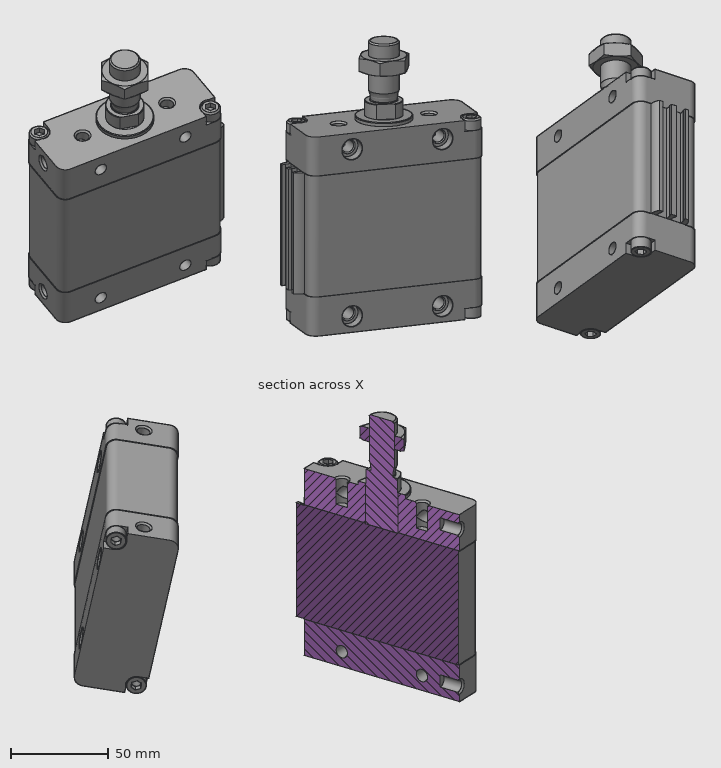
import cadquery as cq
import math


total_height = 149.0
overall_depth = 102.0
body_height = 107.0
cap_height = 21.0
tube_top = body_height - cap_height

cap_width = 38.0
cap_depth = 97.0
corner_radius = 5.5
tube_inset = 0.5

screw_x = cap_width / 2 - corner_radius
screw_y = cap_depth / 2 - corner_radius
screw_corners = [(-1, -1), (1, 1)]
pocket_radius = 5.5
pocket_side = 5.0
pocket_depth = 6.0
head_diameter = 10.5
front_head_chamfer = 0.9
rear_head_chamfer = 0.3
socket_width = 5.0
socket_depth = 3.0
drill_tip_angle = 120.0

hole_diameter = 6.7
entry_diameter = 8.6
port_edge = 8.6
port_depth = 11.9
thread_depth = 14.9
hole_spacing = 50.0
counterbore_diameter = 11.0
counterbore_mouth = 11.5
counterbore_depth = 6.0
counterbore_seat = 8.0

flange_diameter = 30.0
flange_height = 2.1
flange_chamfer = 0.5
flange_top = body_height + flange_height

rail_floor_y = 48.5
rail_top_y = overall_depth - cap_depth / 2
rail_half_width = 10.7
rail_tip_x = 9.0
slot_outer_x = 7.5
mouth_outer_x = 7.0
slot_inner_x = 1.2
mouth_inner_x = 1.6
lip_y = 51.5

shank_diameter = 20.0
shank_top = 117.1
shank_chamfer = 0.3
flats_width = 17.5
flats_angle = -14.5
neck_diameter = 13.9
neck_fillet = 0.5
neck_top = 119.3
flare_start_diameter = 14.3
flare_start = 119.8
flare_end = 122.5
flare_sag = 0.09
thread_diameter = 16.0
thread_end_diameter = 14.3

nut_width = 24.0
nut_height = 8.0
nut_bottom = 133.0
nut_face_diameter = 23.5
nut_chamfer_angle = 20.0


def revolve_about_z(outline):
    return outline.close().revolve(360, (0, 0, 0), (0, 1, 0))


def rounded_block(width, depth, radius, height, bottom):
    block = cq.Workplane("XY").workplane(offset=bottom).rect(width, depth).extrude(height)
    return block.edges("|Z").fillet(radius)


def flared_hole(origin, direction, diameter, mouth, depth):
    """Drill shape that starts at origin and widens at 45 degrees to the mouth diameter."""
    flare = (mouth - diameter) / 2
    drill = cq.Solid.makeCylinder(diameter / 2, depth, cq.Vector(*origin), cq.Vector(*direction))
    cone = cq.Solid.makeCone(mouth / 2, diameter / 2, flare, cq.Vector(*origin), cq.Vector(*direction))
    return cq.Workplane(obj=drill.fuse(cone))


def hexagon_prism(width, height):
    """Hexagonal prism on Z = 0, given its width across flats, with corners toward +Y and -Y."""
    corner_diameter = width / math.cos(math.radians(30))
    prism = cq.Workplane("XY").polygon(6, corner_diameter).extrude(height)
    return prism.rotate((0, 0, 0), (0, 0, 1), 30)


def screw_head(chamfer):
    """Head standing on Z = 0, with a hexagon socket that ends in a drilled cone."""
    head = cq.Workplane("XY").circle(head_diameter / 2).extrude(pocket_depth)
    head = head.faces(">Z").edges().chamfer(chamfer)
    socket_floor = pocket_depth - socket_depth
    socket = hexagon_prism(socket_width, socket_depth).translate((0, 0, socket_floor))
    radius = socket_width / 2
    tip_height = radius / math.tan(math.radians(drill_tip_angle / 2))
    drill_tip = revolve_about_z(
        cq.Workplane("XZ")
        .moveTo(0, socket_floor - tip_height)
        .lineTo(radius, socket_floor)
        .lineTo(0, socket_floor)
    )
    return head.cut(socket).cut(drill_tip)


def corner_pocket():
    """Pocket for a head on the Z axis, open toward +X and +Y, with one rounded inner corner."""
    reach = 2 * corner_radius
    pocket = cq.Workplane("XY").circle(pocket_radius).extrude(pocket_depth)
    toward_y = cq.Workplane("XY").rect(pocket_side + reach, reach).extrude(pocket_depth)
    toward_y = toward_y.translate(((reach - pocket_side) / 2, reach / 2, 0))
    toward_x = cq.Workplane("XY").rect(reach, pocket_radius + reach).extrude(pocket_depth)
    toward_x = toward_x.translate((reach / 2, (reach - pocket_radius) / 2, 0))
    return pocket.union(toward_y).union(toward_x)


def mounting_hole(y, z):
    """Counterbored hole along X, with the counterbore in the -X wall."""
    wall_x = -cap_width / 2
    along_x = (1, 0, 0)
    counterbore = flared_hole(
        (wall_x, y, z), along_x, counterbore_diameter, counterbore_mouth, counterbore_depth
    )
    seat_x = wall_x + counterbore_depth
    through = flared_hole((seat_x, y, z), along_x, hole_diameter, counterbore_seat, cap_width)
    return counterbore.union(through)


def plain_cap(head_chamfer):
    """Cap with its outer end face up at Z = cap_height: screws, port and mounting holes."""
    cap = rounded_block(cap_width, cap_depth, corner_radius, cap_height, 0)
    pocket_floor = cap_height - pocket_depth
    for side_x, side_y in screw_corners:
        turn = 0 if side_x > 0 else 180
        place = (side_x * screw_x, side_y * screw_y, pocket_floor)
        cap = cap.cut(corner_pocket().rotate((0, 0, 0), (0, 0, 1), turn).translate(place))
        cap = cap.union(screw_head(head_chamfer).translate(place))
    hole_z = cap_height - port_edge
    port_origin = (0, -cap_depth / 2, hole_z)
    cap = cap.cut(flared_hole(port_origin, (0, 1, 0), hole_diameter, entry_diameter, port_depth))
    for y in (-hole_spacing / 2, hole_spacing / 2):
        cap = cap.cut(mounting_hole(y, hole_z))
    return cap


def make_front_cap():
    cap = plain_cap(front_head_chamfer).translate((0, 0, tube_top))
    flange = cq.Workplane("XY").workplane(offset=body_height).circle(flange_diameter / 2)
    flange = flange.extrude(flange_height).faces(">Z").edges().chamfer(flange_chamfer)
    cap = cap.union(flange)
    for y in (-hole_spacing / 2, hole_spacing / 2):
        origin = (0, y, body_height)
        cap = cap.cut(flared_hole(origin, (0, 0, -1), hole_diameter, entry_diameter, thread_depth))
    rod_bore = cq.Workplane("XY").workplane(offset=tube_top).circle(shank_diameter / 2)
    return cap.cut(rod_bore.extrude(flange_top - tube_top))


def make_rear_cap():
    """The plain cap mirrored so that its outer end face is at Z = 0."""
    return plain_cap(rear_head_chamfer).mirror("XY").translate((0, 0, cap_height))


def sensor_rail():
    """Two curved outer jaws and a T-shaped middle rib, which bound two undercut slots."""
    wall_y = cap_depth / 2 - tube_inset
    base_y = wall_y - corner_radius
    run = rail_half_width - rail_tip_x
    rise = rail_top_y - rail_floor_y
    half = (
        cq.Workplane("XY")
        .workplane(offset=cap_height)
        .moveTo(0, base_y)
        .lineTo(rail_half_width, base_y)
        .lineTo(rail_half_width, rail_floor_y)
        .tangentArcPoint((-run, rise))
        .lineTo(mouth_outer_x, rail_top_y)
        .lineTo(mouth_outer_x, lip_y)
        .lineTo(slot_outer_x, lip_y)
        .lineTo(slot_outer_x, rail_floor_y)
        .lineTo(slot_inner_x, rail_floor_y)
        .lineTo(slot_inner_x, lip_y)
        .lineTo(mouth_inner_x, lip_y)
        .lineTo(mouth_inner_x, rail_top_y)
        .lineTo(0, rail_top_y)
        .close()
        .extrude(tube_top - cap_height)
    )
    return half.union(half.mirror("YZ"))


def make_tube():
    tube = rounded_block(
        cap_width - 2 * tube_inset,
        cap_depth - 2 * tube_inset,
        corner_radius - tube_inset,
        tube_top - cap_height,
        cap_height,
    )
    return tube.union(sensor_rail())


def make_rod():
    """Shank with two wrench flats, relief neck and threaded end."""
    neck_radius = neck_diameter / 2
    flare_radius = flare_start_diameter / 2
    thread_radius = thread_diameter / 2
    shank_radius = shank_diameter / 2
    end_radius = thread_end_diameter / 2
    flare_middle = (
        (flare_radius + thread_radius) / 2 - flare_sag,
        (flare_start + flare_end) / 2,
    )
    rod = revolve_about_z(
        cq.Workplane("XZ")
        .moveTo(0, tube_top)
        .lineTo(shank_radius, tube_top)
        .lineTo(shank_radius, shank_top - shank_chamfer)
        .lineTo(shank_radius - shank_chamfer, shank_top)
        .lineTo(neck_radius + neck_fillet, shank_top)
        .lineTo(neck_radius, shank_top + neck_fillet)
        .lineTo(flare_radius, neck_top)
        .lineTo(flare_radius, flare_start)
        .threePointArc(flare_middle, (thread_radius, flare_end))
        .lineTo(thread_radius, total_height - (thread_radius - end_radius))
        .lineTo(end_radius, total_height)
        .lineTo(0, total_height)
    )
    flats_height = shank_top - flange_top
    ring = cq.Workplane("XY").workplane(offset=flange_top).circle(shank_diameter).extrude(flats_height)
    core = cq.Workplane("XY").workplane(offset=flange_top)
    core = core.rect(flats_width, 2 * shank_diameter).extrude(flats_height)
    return rod.cut(ring.cut(core).rotate((0, 0, 0), (0, 0, 1), flats_angle))


def make_nut():
    """Hexagon with corners toward +Y and -Y, chamfered at both ends."""
    nut_corner_radius = nut_width / 2 / math.cos(math.radians(30))
    hexagon = hexagon_prism(nut_width, nut_height)
    face_radius = nut_face_diameter / 2
    corner_drop = (nut_corner_radius - face_radius) * math.tan(math.radians(nut_chamfer_angle))
    envelope = revolve_about_z(
        cq.Workplane("XZ")
        .lineTo(face_radius, 0)
        .lineTo(nut_corner_radius, corner_drop)
        .lineTo(nut_corner_radius, nut_height - corner_drop)
        .lineTo(face_radius, nut_height)
        .lineTo(0, nut_height)
    )
    bore = cq.Workplane("XY").circle(thread_diameter / 2).extrude(nut_height)
    return hexagon.intersect(envelope).cut(bore).translate((0, 0, nut_bottom))


front_cap = make_front_cap()
rear_cap = make_rear_cap()
tube = make_tube()
rod = make_rod()
nut = make_nut()

result = cq.Compound.makeCompound(
    [body.solids().val() for body in (front_cap, rear_cap, tube, rod, nut)]
)